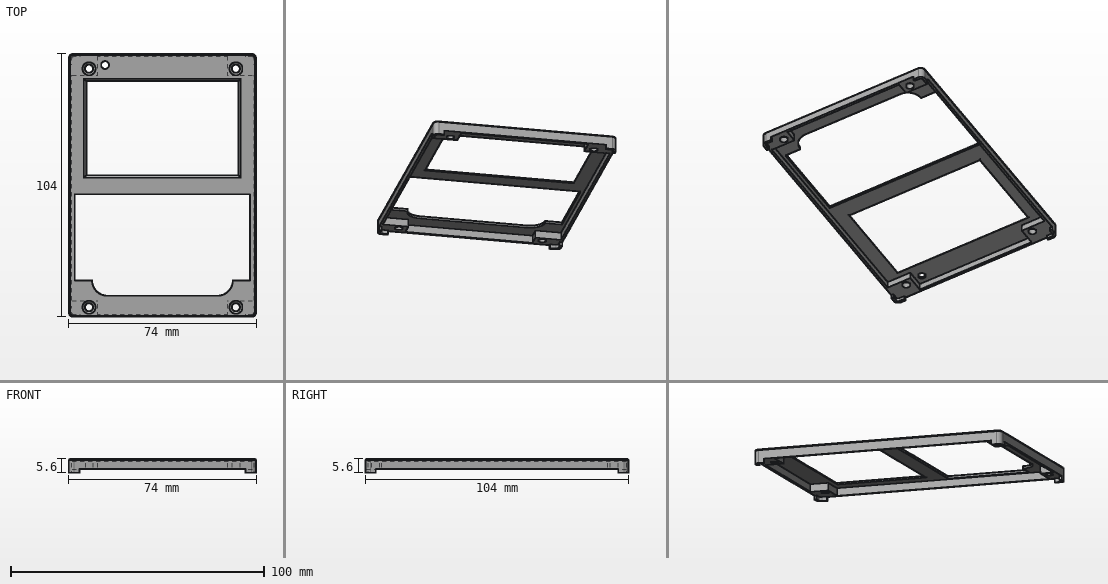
import cadquery as cq
import math

length = 104.0
width = 74.0
height = 5.6
corner_radius = 2.0
top_chamfer = 0.5
plate_thickness = 1.0
wall_thickness = 1.0

foot_height = 1.6
foot_length_x = 4.3
foot_length_y = 4.2

upper_window_width = 62.0
upper_window_top = 42.1
upper_window_bottom = 3.0
window_slope = plate_thickness

lower_window_width = 69.2
lower_window_top = -3.5
lower_window_bottom = -37.5
bay_width = 55.5
bay_bottom = -43.6
bay_radius = lower_window_bottom - bay_bottom

screw_x = 29.0
upper_screw_y = 46.1
lower_screw_y = -48.2
screw_diameter = 3.1
countersink_diameter = 5.2
countersink_angle = 90
block_reach_x = 3.3
block_reach_y = 2.5

small_hole_x = -22.7
small_hole_y = 47.5
small_hole_diameter = 3.0

plate_bottom = height - plate_thickness
through = 2 * height


def box_between(x_min, x_max, y_min, y_max, z_min, z_max):
    """Box given by its limits along each axis."""
    box = cq.Workplane("XY").box(x_max - x_min, y_max - y_min, z_max - z_min, centered=False)
    return box.translate((x_min, y_min, z_min))


def make_shell():
    """Chamfered plate with a thin rim hanging below its edge."""
    outer = cq.Workplane("XY").box(width, length, height, centered=(True, True, False))
    outer = outer.edges("|Z").fillet(corner_radius)
    outer = outer.faces(">Z").edges().chamfer(top_chamfer)
    inner = cq.Workplane("XY").box(
        width - 2 * wall_thickness,
        length - 2 * wall_thickness,
        plate_bottom,
        centered=(True, True, False),
    )
    inner = inner.edges("|Z").fillet(corner_radius - wall_thickness)
    return outer.cut(inner)


def make_screw_block(place_x, place_y):
    """Block under one screw hole, reaching out to the two nearest rim walls."""
    side = math.copysign(1, place_x)
    end = math.copysign(1, place_y)
    x_limits = sorted((place_x - side * block_reach_x, side * (width / 2 - wall_thickness)))
    y_limits = sorted((place_y - end * block_reach_y, end * (length / 2 - wall_thickness)))
    return box_between(*x_limits, *y_limits, foot_height, plate_bottom)


def make_foot_gaps():
    """Two crossing bars that shorten the rim between the corner feet."""
    along_x = cq.Workplane("XY").box(
        width - 2 * foot_length_x, length, foot_height, centered=(True, True, False)
    )
    along_y = cq.Workplane("XY").box(
        width, length - 2 * foot_length_y, foot_height, centered=(True, True, False)
    )
    return along_x.union(along_y)


def make_upper_window():
    """Rectangular opening that narrows downwards through the plate."""
    window_length = upper_window_top - upper_window_bottom
    window_middle = (upper_window_top + upper_window_bottom) / 2
    return (
        cq.Workplane("XY", origin=(0, window_middle, height))
        .rect(upper_window_width, window_length)
        .workplane(offset=-plate_thickness)
        .rect(upper_window_width - 2 * window_slope, window_length - 2 * window_slope)
        .loft(ruled=True)
    )


def make_lower_window():
    """Rectangular opening with the round-cornered bay added below it."""
    half_window = lower_window_width / 2
    half_bay = bay_width / 2
    half_bay_floor = half_bay - bay_radius
    return (
        cq.Workplane("XY")
        .moveTo(-half_window, lower_window_top)
        .lineTo(half_window, lower_window_top)
        .lineTo(half_window, lower_window_bottom)
        .lineTo(half_bay, lower_window_bottom)
        .radiusArc((half_bay_floor, bay_bottom), bay_radius)
        .lineTo(-half_bay_floor, bay_bottom)
        .radiusArc((-half_bay, lower_window_bottom), bay_radius)
        .lineTo(-half_window, lower_window_bottom)
        .close()
        .extrude(through)
    )


screw_places = [(side * screw_x, y) for side in (-1, 1) for y in (lower_screw_y, upper_screw_y)]

result = make_shell()
result = result.cut(make_foot_gaps())
for place_x, place_y in screw_places:
    result = result.union(make_screw_block(place_x, place_y))
result = result.cut(make_upper_window())
result = result.cut(make_lower_window())
result = (
    result.faces(">Z")
    .workplane(origin=(0, 0, height))
    .pushPoints(screw_places)
    .cskHole(screw_diameter, countersink_diameter, countersink_angle)
)
result = (
    result.faces(">Z")
    .workplane(origin=(0, 0, height))
    .pushPoints([(small_hole_x, small_hole_y)])
    .hole(small_hole_diameter)
)